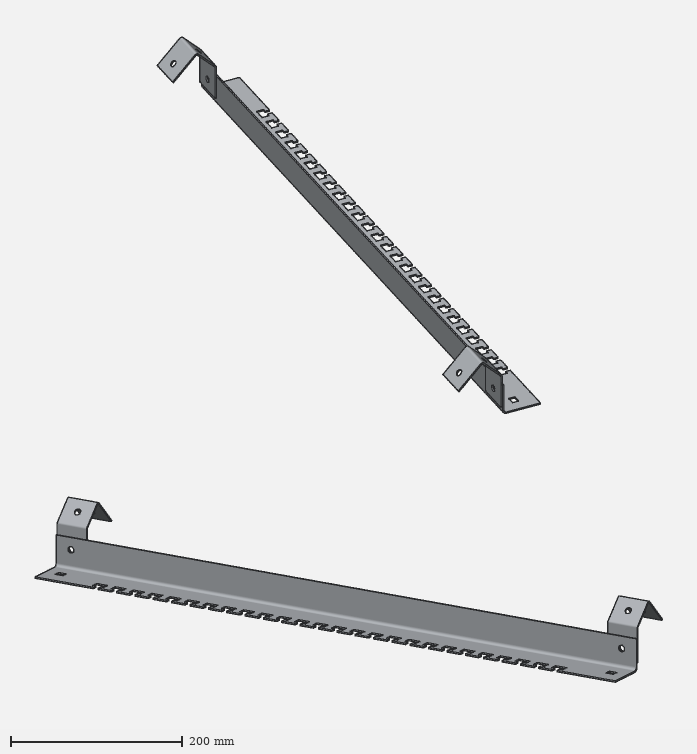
import cadquery as cq
import math

sheet = 2.0
rail_bend_inner = 4.0
bracket_bend_inner = 1.2

rail_length = 790.0
rail_depth = 50.0
rail_height = 40.0

slot_count = 26
slot_row_length = 625.0
slot_pitch = slot_row_length / (slot_count - 1)
slot_neck_width = 6.7
slot_neck_depth = 5.9
slot_head_width = 15.0
slot_depth = 15.0

floor_hole_length = 10.0
floor_hole_width = 8.0

bracket_width = 40.0
bracket_bottom = 10.0
bracket_top = 79.0
bracket_reach = 58.0
apex_y = -26.0
slope_angle = 45

hole_diameter = 8.0
wall_hole_z = 25.0
rising_hole_y = -13.5
falling_hole_y = -47.0

bracket_x = (rail_length - bracket_width) / 2

slope = math.tan(math.radians(slope_angle))
apex_rounding_drop = (bracket_bend_inner + sheet) * (1 / math.cos(math.radians(slope_angle)) - 1)
apex_z = bracket_top + apex_rounding_drop
knee_z = apex_z + apex_y * slope
tip_z = apex_z - (bracket_reach + apex_y) * slope


def shifted_corners(path, distance):
    """Corners of a (y, z) path moved sideways to its left, with mitred bends."""
    normals = []
    for (y0, z0), (y1, z1) in zip(path, path[1:]):
        length = math.hypot(y1 - y0, z1 - z0)
        normals.append(((z0 - z1) / length, (y1 - y0) / length))
    corners = []
    for (y, z), before, after in zip(path, normals[:1] + normals, normals + normals[-1:]):
        stretch = distance / (1 + before[0] * after[0] + before[1] * after[1])
        corners.append((y + stretch * (before[0] + after[0]), z + stretch * (before[1] + after[1])))
    return corners


def bent_strip(path, width, bend_inner):
    """Sheet strip centred on X = 0, with one face on the path and its thickness to the left."""
    bend_outer = bend_inner + sheet
    opposite = shifted_corners(path, sheet)
    strip = cq.Workplane("YZ").polyline(path + opposite[::-1]).close().extrude(width / 2, both=True)
    for i in range(1, len(path) - 1):
        (y0, z0), (y1, z1), (y2, z2) = path[i - 1:i + 2]
        turns_left = (y1 - y0) * (z2 - z1) - (z1 - z0) * (y2 - y1) > 0
        path_radius = bend_outer if turns_left else bend_inner
        opposite_radius = bend_inner if turns_left else bend_outer
        strip = strip.edges(cq.NearestToPointSelector((0, y1, z1))).fillet(path_radius)
        strip = strip.edges(cq.NearestToPointSelector((0, *opposite[i]))).fillet(opposite_radius)
    return strip


def hole_cutter(x, y, z, angle):
    """Round cutter through one sheet; the angle tilts its axis up from -Y."""
    axis = cq.Vector(0, -math.cos(math.radians(angle)), math.sin(math.radians(angle)))
    start = cq.Vector(x, y, z) - axis * (2 * sheet)
    return cq.Workplane(cq.Solid.makeCylinder(hole_diameter / 2, 4 * sheet, start, axis))


def slot_cutter(x):
    """T-shaped cutter: a narrow neck open to the back edge and a wider head in front of it."""
    neck = (
        cq.Workplane("XY")
        .center(x, rail_depth - slot_neck_depth / 2)
        .rect(slot_neck_width, slot_neck_depth)
        .extrude(sheet)
    )
    head = (
        cq.Workplane("XY")
        .center(x, rail_depth - (slot_neck_depth + slot_depth) / 2)
        .rect(slot_head_width, slot_depth - slot_neck_depth)
        .extrude(sheet)
    )
    return neck.union(head)


def make_rail():
    rail = bent_strip([(0, rail_height), (0, 0), (rail_depth, 0)], rail_length, rail_bend_inner)
    for i in range(slot_count):
        rail = rail.cut(slot_cutter((i - (slot_count - 1) / 2) * slot_pitch))
    for x in (-bracket_x, bracket_x):
        floor_hole = (
            cq.Workplane("XY")
            .center(x, rail_depth / 2)
            .rect(floor_hole_length, floor_hole_width)
            .extrude(sheet)
        )
        rail = rail.cut(floor_hole).cut(hole_cutter(x, 0, wall_hole_z, 0))
    return rail


def make_bracket(x):
    path = [(0, bracket_bottom), (0, knee_z), (apex_y, apex_z), (-bracket_reach, tip_z)]
    bracket = bent_strip(path, bracket_width, bracket_bend_inner)
    rising_hole_z = knee_z - rising_hole_y * slope
    falling_hole_z = apex_z + (falling_hole_y - apex_y) * slope
    return (
        bracket.translate((x, 0, 0))
        .cut(hole_cutter(x, 0, wall_hole_z, 0))
        .cut(hole_cutter(x, rising_hole_y, rising_hole_z, 180 - slope_angle))
        .cut(hole_cutter(x, falling_hole_y, falling_hole_z, slope_angle))
    )


rail = make_rail()
brackets = [make_bracket(x) for x in (-bracket_x, bracket_x)]

result = cq.Compound.makeCompound([rail.val(), *[bracket.val() for bracket in brackets]])